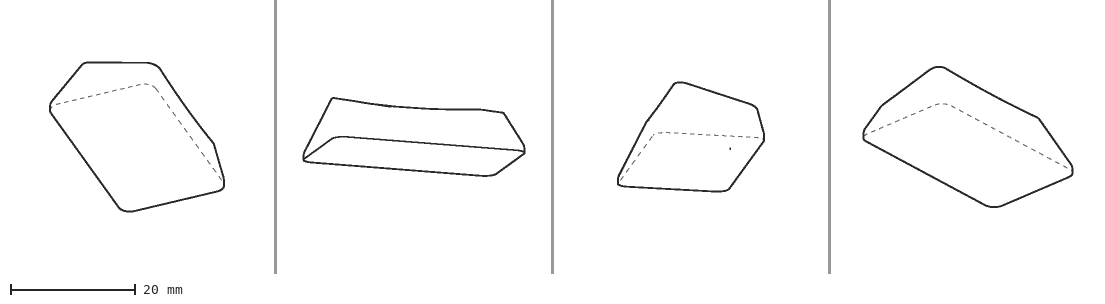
import cadquery as cq
import math

length = 32.45
width = 18.17
foot_height = 0.7
bend_top = 1.35
bend_middle = (foot_height + bend_top) / 2

side_lean = 0.5
front_lean = 0.47
back_lean = 0.085

top_tilt = 15.7
top_length = 25.38
rim_height_mid = 8.57
dish_depth = 0.65
dish_chord = 25.3

corner_radius = 1.95
rim_radius = 0.4

dish_allowance = 0.15

tilt = math.radians(top_tilt)
dish_length = 2 * length


def wall_inset(height, lean):
    """Inward shift of a wall: none on the foot, parabolic in the bend."""
    if height <= foot_height:
        return 0
    return lean * (height - foot_height) ** 2 / (2 * (bend_top - foot_height))


def rounded_outline(outline_length, outline_width):
    return cq.Sketch().rect(outline_length, outline_width).vertices().fillet(corner_radius)


def level_section(height):
    """Horizontal rounded rectangle bounded by the foot or the bend at the given height."""
    front = -width / 2 + wall_inset(height, front_lean)
    back = width / 2 - wall_inset(height, back_lean)
    section_length = length - 2 * wall_inset(height, side_lean)
    location = cq.Location(cq.Vector(0, (front + back) / 2, height))
    return rounded_outline(section_length, back - front).moved(location)


def tilted_section(mid_height):
    """Rounded rectangle on the tilted top plane, reaching the front and back walls."""
    slope = math.tan(tilt)
    rise = mid_height - bend_middle
    front = (-width / 2 + front_lean * rise) / (1 + front_lean * slope)
    back = (width / 2 - back_lean * rise) / (1 - back_lean * slope)
    middle = (front + back) / 2
    center = cq.Vector(0, middle, mid_height - middle * slope)
    location = cq.Location(center, cq.Vector(1, 0, 0), -top_tilt)
    return rounded_outline(top_length, (back - front) / math.cos(tilt)).moved(location)


def tapered_blank():
    """Undished keycap: straight foot, soft bend, then walls leaning in to the tilted top."""
    foot = cq.Workplane().placeSketch(level_section(0)).extrude(foot_height)
    bend_sections = [level_section(height) for height in (foot_height, bend_middle, bend_top)]
    bend = cq.Workplane().placeSketch(*bend_sections).loft()
    blank_top = tilted_section(rim_height_mid + dish_allowance)
    walls = cq.Workplane().placeSketch(level_section(bend_top), blank_top).loft(ruled=True)
    return foot.union(bend).union(walls)


def dish_cutter():
    """Large cylinder whose lowest line follows the tilted top."""
    dish_radius = (dish_chord / 2) ** 2 / (2 * dish_depth) + dish_depth / 2
    fall_direction = cq.Vector(0, math.cos(tilt), -math.sin(tilt))
    upward = cq.Vector(0, math.sin(tilt), math.cos(tilt))
    bottom_point = cq.Vector(0, 0, rim_height_mid - dish_depth / math.cos(tilt))
    start = bottom_point + upward * dish_radius - fall_direction * (dish_length / 2)
    return cq.Workplane(cq.Solid.makeCylinder(dish_radius, dish_length, start, fall_direction))


body = tapered_blank().cut(dish_cutter())

dish_point = (0, 0, rim_height_mid)
result = body.faces(cq.selectors.NearestToPointSelector(dish_point)).edges().fillet(rim_radius)